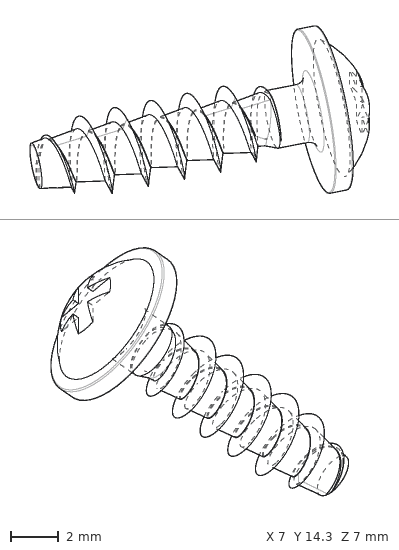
import cadquery as cq
import math


flange_radius = 3.5
flange_thickness = 0.8
flange_top_fillet = 0.06
flange_bottom_fillet = 0.04
dome_radius = 2.93
dome_height = 1.55
slot_width = 0.9
slot_depth = 0.36

length = 12.0
shank_radius = 1.235
shank_end = 1.77
under_head_fillet = 0.5
neck_end = 2.3
neck_radius = 1.03
neck_run_out = 2.8
tip_radius = 0.975
plain_core_radius = 0.97
tip_dish_radius = 0.88
tip_dish_depth = 0.05

pitch = 1.565
thread_radius = 1.76
flank_angle = 18.0
ridge_depth = 0.82
lead_in_radius = 1.31
first_crest_radius = 1.40
lead_in_y = -1.74
first_crest_y = -1.80
tip_crest_rise = 0.004

lead_in_step_radius = 1.122
step_radius = 1.216
lead_in_step_length = 0.95
step_clearance = 0.01
taper_step_length = 1.45
tip_step_length = 2.5

lead_in_turn = 0.0
first_crest_turn = 0.25
full_thread_turn = 1.25
thread_taper_turn = 5.25
tip_step_turn = 5.8
thread_end_turn = tip_step_turn + 1

samples_per_turn = 16
minimum_samples = 12


def thread_y(turn):
    """Axial position of the thread centre line beyond the lead-in."""
    return first_crest_y - pitch * (turn - first_crest_turn)


def make_body():
    """Revolve head, shank and the plain core hidden under the thread."""
    top = flange_thickness + dome_height
    sphere_radius = (dome_radius**2 + dome_height**2) / (2 * dome_height)
    half_angle = math.asin(dome_radius / sphere_radius) / 2
    dome_mid = (
        sphere_radius * math.sin(half_angle),
        top - sphere_radius * (1 - math.cos(half_angle)),
    )
    arc_mid = 1 - math.sqrt(0.5)
    neck_mid = arc_mid * under_head_fillet
    bottom_mid = arc_mid * flange_bottom_fillet
    top_mid = arc_mid * flange_top_fillet
    profile = (
        cq.Workplane("XY")
        .moveTo(0, -length)
        .lineTo(plain_core_radius, -length)
        .lineTo(plain_core_radius, -neck_run_out)
        .lineTo(neck_radius, -neck_end)
        .lineTo(shank_radius, -shank_end)
        .lineTo(shank_radius, -under_head_fillet)
        .threePointArc(
            (shank_radius + neck_mid, -neck_mid),
            (shank_radius + under_head_fillet, 0),
        )
        .lineTo(flange_radius - flange_bottom_fillet, 0)
        .threePointArc(
            (flange_radius - bottom_mid, bottom_mid),
            (flange_radius, flange_bottom_fillet),
        )
        .lineTo(flange_radius, flange_thickness - flange_top_fillet)
        .threePointArc(
            (flange_radius - top_mid, flange_thickness - top_mid),
            (flange_radius - flange_top_fillet, flange_thickness),
        )
        .lineTo(dome_radius, flange_thickness)
        .threePointArc(dome_mid, (0, top))
        .close()
    )
    solid = profile.revolve(360, (0, 0, 0), (0, 1, 0))
    return solid.rotate((0, 0, 0), (0, 1, 0), -90)


def cut_cross_slots(body):
    """Cut the two crossed slots in the crown of the dome."""
    slot_floor = flange_thickness + dome_height - slot_depth
    for size_x, size_z in ((slot_width, 2 * dome_radius), (2 * dome_radius, slot_width)):
        slot = cq.Workplane("XY").box(size_x, 2 * slot_depth, size_z)
        body = body.cut(slot.translate((0, slot_floor + slot_depth, 0)))
    return body


def polar_point(turn, radius, y):
    """Point at a given angle (in turns), radius and axial position."""
    angle = 2 * math.pi * turn
    return cq.Vector(radius * math.cos(angle), y, radius * math.sin(angle))


def spiral_edge(start_turn, start, end_turn, end):
    """Spiral edge between two (radius, y) points at different angles."""
    samples = max(minimum_samples, round(samples_per_turn * (end_turn - start_turn)))
    points = []
    for index in range(samples + 1):
        part = index / samples
        turn = start_turn + part * (end_turn - start_turn)
        radius, y = [a + part * (b - a) for a, b in zip(start, end)]
        points.append(polar_point(turn, radius, y))
    return cq.Edge.makeSpline(points)


def spiral_solid(sections):
    """Solid ruled along spirals through (turn, polygon of (radius, y)) sections."""
    faces = []
    for (start_turn, start), (end_turn, end) in zip(sections, sections[1:]):
        edges = [spiral_edge(start_turn, a, end_turn, b) for a, b in zip(start, end)]
        for edge, neighbour in zip(edges, edges[1:] + edges[:1]):
            faces.append(cq.Face.makeRuledSurface(edge, neighbour))
    for turn, polygon in (sections[0], sections[-1]):
        corners = [polar_point(turn, radius, y) for radius, y in polygon]
        faces.append(cq.Face.makeFromWires(cq.Wire.makePolygon(corners, close=True)))
    solid = cq.Solid.makeSolid(cq.Shell.makeShell(faces))
    return cq.Workplane("XY").add(solid.fix())


def make_thread():
    """Sharp thread ridge with the tapered core step behind it, from shank end to tip."""
    flank = math.tan(math.radians(flank_angle))
    taper = (step_radius - tip_radius) / (length + thread_y(tip_step_turn))
    step_length = pitch - ridge_depth * flank - step_clearance
    end_step_radius = step_radius - taper * pitch
    end_crest_radius = end_step_radius + tip_crest_rise
    taper_part = (tip_step_turn - thread_taper_turn) / (thread_end_turn - thread_taper_turn)
    tip_step_crest = thread_radius + taper_part * (end_crest_radius - thread_radius)

    def section(turn, y, crest, step, run):
        """Ridge and step outline at one angle; run is the axial length of the step."""
        inner = crest - ridge_depth
        root_drop = (crest - step) / (1 / flank - taper)
        polygon = [
            (inner, y + ridge_depth * flank),
            (crest, y),
            (step - taper * root_drop, y - root_drop),
            (step - taper * run, y - run),
            (inner, y - run),
        ]
        return turn, polygon

    stations = [
        (lead_in_turn, lead_in_y, lead_in_radius, lead_in_step_radius, lead_in_step_length),
        (first_crest_turn, first_crest_y, first_crest_radius, step_radius, step_length),
    ]
    for turn, crest, run in (
        (full_thread_turn, thread_radius, step_length),
        (thread_taper_turn - 1, thread_radius, step_length),
        (thread_taper_turn, thread_radius, taper_step_length),
        (tip_step_turn, tip_step_crest, taper_step_length),
    ):
        stations.append((turn, thread_y(turn), crest, step_radius, run))
    end_y = thread_y(thread_end_turn)
    stations.append((thread_end_turn, end_y, end_crest_radius, end_step_radius, tip_step_length))
    return spiral_solid([section(*station) for station in stations])


def finish_tip(body):
    """Cut everything beyond the flat tip and hollow the tip face with a shallow dish."""
    size = 4 * thread_radius
    waste = cq.Workplane("XY").box(size, size, size)
    body = body.cut(waste.translate((0, -length - size / 2, 0)))
    sphere_radius = (tip_dish_radius**2 + tip_dish_depth**2) / (2 * tip_dish_depth)
    sphere_y = -length + tip_dish_depth - sphere_radius
    arc_x = tip_dish_radius / 2
    arc_y = sphere_y + math.sqrt(sphere_radius**2 - arc_x**2)
    dish = (
        cq.Workplane("XY")
        .moveTo(0, -length)
        .lineTo(tip_dish_radius, -length)
        .threePointArc((arc_x, arc_y), (0, -length + tip_dish_depth))
        .close()
        .revolve(360, (0, 0, 0), (0, 1, 0))
    )
    return body.cut(dish.rotate((0, 0, 0), (0, 1, 0), -90))


body = cut_cross_slots(make_body())
body = body.union(make_thread())
result = finish_tip(body).solids()